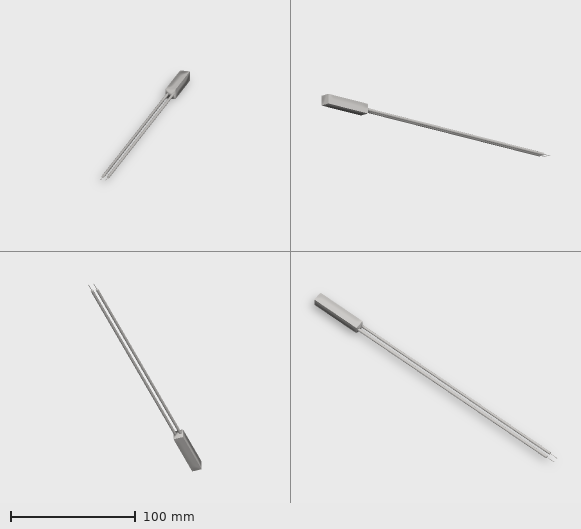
import cadquery as cq

total_length = 243.0
body_width = 8.1
body_height = 8.11
body_length = 42.9
dome_rise = 1.7
wire_spacing = 4.3
insulation_diameter = 2.2
conductor_diameter = 0.5
bare_length = 7.5
embedded_depth = 5.0

body_front = -body_length
insulation_end = -(total_length - bare_length)
conductor_end = -total_length
wire_start = body_front + embedded_depth


def make_body():
    """Square sensor body with its back face at Y = 0."""
    body = cq.Workplane("XY").box(body_width, body_length, body_height, centered=(True, False, True))
    return body.translate((0, body_front, 0))


def make_dome():
    """Potting dome: smooth pillow over the square wire end, continued back into the body."""
    half_width = body_width / 2
    half_height = body_height / 2
    corners = [
        cq.Vector(-half_width, body_front, -half_height),
        cq.Vector(half_width, body_front, -half_height),
        cq.Vector(half_width, body_front, half_height),
        cq.Vector(-half_width, body_front, half_height),
    ]
    outline = cq.Wire.makePolygon(corners, close=True)
    crown = cq.Vector(0, body_front - dome_rise, 0)
    pillow = cq.Face.makeNSidedSurface(outline.Edges(), [crown])
    return cq.Workplane(cq.Solid.extrudeLinear(pillow, cq.Vector(0, embedded_depth, 0)))


def make_rod(x, diameter, end):
    """Round rod along Y at the given X, from inside the body to the given end."""
    rod = cq.Workplane("XZ", origin=(x, wire_start, 0)).circle(diameter / 2)
    return rod.extrude(wire_start - end)


def make_wire(x):
    """Insulated wire with a bare conductor at its free end."""
    insulation = make_rod(x, insulation_diameter, insulation_end)
    conductor = make_rod(x, conductor_diameter, conductor_end)
    return insulation.union(conductor)


result = make_body().union(make_dome())
for wire_x in (-wire_spacing / 2, wire_spacing / 2):
    result = result.union(make_wire(wire_x))